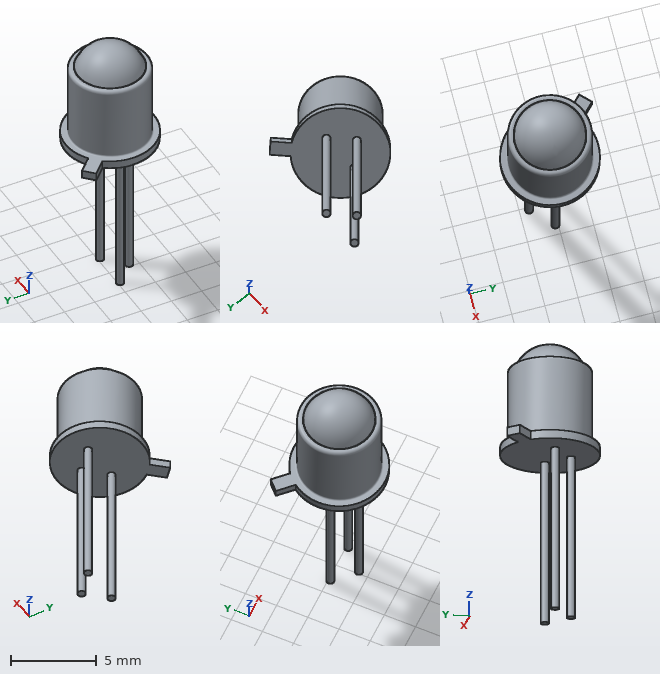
import cadquery as cq
import math

OVERALL_HEIGHT = 16.8
LEAD_LENGTH = 10.0
LENS_TOP = OVERALL_HEIGHT - LEAD_LENGTH
CAN_TOP = 5.33

FLANGE_DIAMETER = 5.85
FLANGE_THICKNESS = 0.52
TAB_WIDTH = 0.87
TAB_REACH = 4.12
TAB_ANGLE = 135.0

CAN_DIAMETER = 4.95
CAN_TOP_FILLET = 0.22
FOOT_FILLET = 0.1

LEAD_DIAMETER = 0.49
LEAD_CIRCLE_RADIUS = 1.26
LEAD_ANGLES = (180.0, 270.0, 0.0)

RECESS_DIAMETER = 4.25
LENS_DIAMETER = 4.2
LENS_RADIUS = LENS_DIAMETER / 2
LENS_SEAT_DEPTH = 0.5
LENS_SEAT = CAN_TOP - LENS_SEAT_DEPTH


def make_flange():
    return cq.Workplane("XY").circle(FLANGE_DIAMETER / 2).extrude(FLANGE_THICKNESS)


def make_tab():
    """Radial bar from the flange centre out past its rim."""
    bar = cq.Workplane("XY").box(TAB_REACH, TAB_WIDTH, FLANGE_THICKNESS, centered=(False, True, False))
    return bar.rotate((0, 0, 0), (0, 0, 1), TAB_ANGLE)


def make_can():
    """Round can with a rounded top edge and a flared foot on the flange."""
    can_radius = CAN_DIAMETER / 2
    fillet_middle = CAN_TOP_FILLET * math.sqrt(0.5)
    foot_middle = FOOT_FILLET * (1 - math.sqrt(0.5))
    return (
        cq.Workplane("XZ")
        .moveTo(0, FLANGE_THICKNESS)
        .lineTo(can_radius + FOOT_FILLET, FLANGE_THICKNESS)
        .threePointArc(
            (can_radius + foot_middle, FLANGE_THICKNESS + foot_middle),
            (can_radius, FLANGE_THICKNESS + FOOT_FILLET),
        )
        .lineTo(can_radius, CAN_TOP - CAN_TOP_FILLET)
        .threePointArc(
            (can_radius - CAN_TOP_FILLET + fillet_middle, CAN_TOP - CAN_TOP_FILLET + fillet_middle),
            (can_radius - CAN_TOP_FILLET, CAN_TOP),
        )
        .lineTo(0, CAN_TOP)
        .close()
        .revolve(360, (0, 0, 0), (0, 1, 0))
    )


def make_lead(angle):
    x = LEAD_CIRCLE_RADIUS * math.cos(math.radians(angle))
    y = LEAD_CIRCLE_RADIUS * math.sin(math.radians(angle))
    return cq.Workplane("XY").center(x, y).circle(LEAD_DIAMETER / 2).extrude(-LEAD_LENGTH)


def make_lens():
    """Domed lens whose spherical cap springs from the top of the can."""
    dome_height = LENS_TOP - CAN_TOP
    dome_radius = (LENS_RADIUS**2 + dome_height**2) / (2 * dome_height)
    dome_center = LENS_TOP - dome_radius
    half_angle = math.asin(LENS_RADIUS / dome_radius) / 2
    dome_middle = (
        dome_radius * math.sin(half_angle),
        dome_center + dome_radius * math.cos(half_angle),
    )
    return (
        cq.Workplane("XZ")
        .moveTo(0, LENS_SEAT)
        .lineTo(LENS_RADIUS, LENS_SEAT)
        .lineTo(LENS_RADIUS, CAN_TOP)
        .threePointArc(dome_middle, (0, LENS_TOP))
        .close()
        .revolve(360, (0, 0, 0), (0, 1, 0))
    )


def make_recess():
    """Round pocket that leaves a narrow gap around the lens."""
    return cq.Workplane("XY", origin=(0, 0, LENS_SEAT)).circle(RECESS_DIAMETER / 2).extrude(LENS_SEAT_DEPTH)


def make_housing():
    """Flange, tab, can and leads in one piece, recessed to hold the lens."""
    housing = make_flange().union(make_tab()).union(make_can())
    for angle in LEAD_ANGLES:
        housing = housing.union(make_lead(angle))
    return housing.cut(make_recess())


lens = make_lens()
housing = make_housing()

result = cq.Compound.makeCompound([housing.val(), lens.val()])